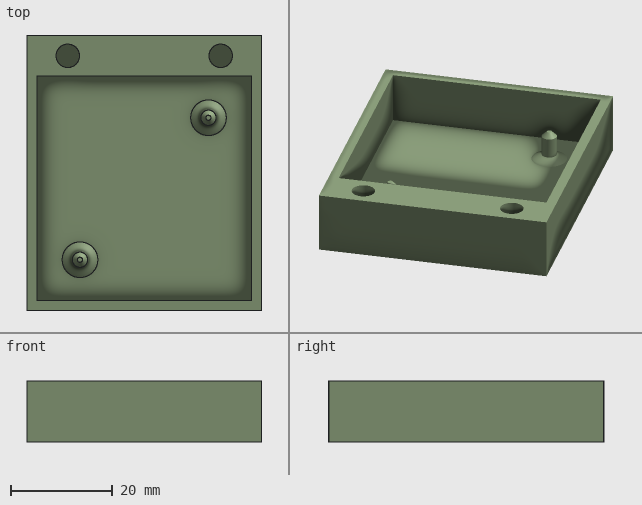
import cadquery as cq

width = 46.0
length = 54.0
height = 12.0

wall = 2.0
floor = 2.0
rear_ledge = 8.0
pocket_width = width - 2 * wall
pocket_length = length - wall - rear_ledge
pocket_depth = height - floor

hole_diameter = 4.6
hole_side_offset = 8.0
hole_depth = pocket_depth

pin_diameter = 3.0
pin_height = 6.0
pin_tip_diameter = 1.0
pin_tip_height = 1.0
pin_base_diameter = 7.0
pin_base_height = 1.0
pin_spacing_x = 25.2
pin_spacing_y = 27.85
front_pin_y = 10.0

hole_y = length - rear_ledge / 2
hole_points = [(hole_side_offset, hole_y), (width - hole_side_offset, hole_y)]
front_pin_x = (width - pin_spacing_x) / 2
pin_points = [
    (front_pin_x, front_pin_y),
    (front_pin_x + pin_spacing_x, front_pin_y + pin_spacing_y),
]


def make_tray():
    """Block with a rectangular pocket that leaves a wide ledge at the rear."""
    block = cq.Workplane("XY").box(width, length, height, centered=False)
    pocket = (
        cq.Workplane("XY", origin=(wall, wall, floor))
        .box(pocket_width, pocket_length, pocket_depth, centered=False)
    )
    return block.cut(pocket)


def cut_ledge_holes(body):
    """Blind round holes going down from the top of the rear ledge."""
    holes = (
        cq.Workplane("XY", origin=(0, 0, height))
        .pushPoints(hole_points)
        .circle(hole_diameter / 2)
        .extrude(-hole_depth)
    )
    return body.cut(holes)


def make_pin(x, y):
    """Pin with a conical foot and a tapered tip, rooted in the floor."""
    shoulder = pin_height - pin_tip_height
    root_depth = floor / 2
    profile = [
        (0, -root_depth),
        (pin_base_diameter / 2, -root_depth),
        (pin_base_diameter / 2, 0),
        (pin_diameter / 2, pin_base_height),
        (pin_diameter / 2, shoulder),
        (pin_tip_diameter / 2, pin_height),
        (0, pin_height),
    ]
    pin = cq.Workplane("XZ").polyline(profile).close().revolve(360, (0, 0), (0, 1))
    return pin.translate((x, y, floor))


result = cut_ledge_holes(make_tray())
for pin_x, pin_y in pin_points:
    result = result.union(make_pin(pin_x, pin_y))